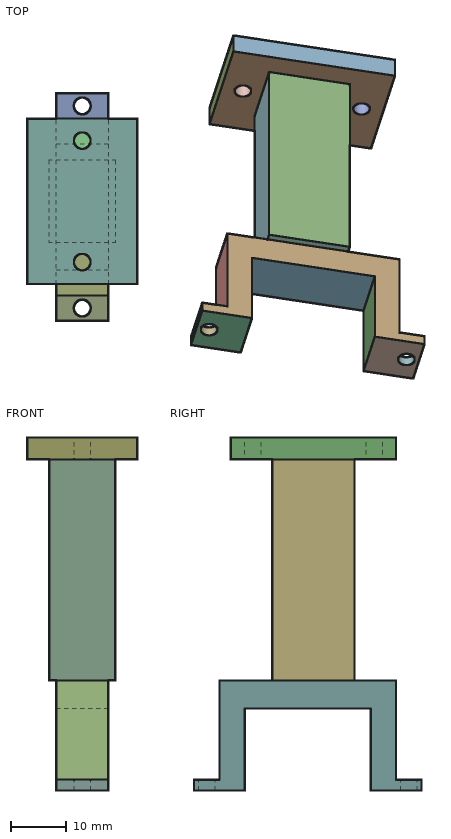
import cadquery as cq

total_height = 64.0
plate_height = 4.0
bracket_height = 20.0
column_height = total_height - plate_height - bracket_height

plate_width = 20.0
plate_length = 30.0
column_width = 12.0
column_length = 15.0
hole_diameter = 3.0
plate_hole_spacing = 22.0

bracket_width = 9.5
overall_length = 41.3
bracket_length = 32.0
bracket_center_y = -1.0
bridge_thickness = 5.1
leg_thickness = 4.6
foot_length = (overall_length - bracket_length) / 2
foot_height = 2.0


def block(width, length, height, bottom, center_y=0):
    """Box centred on X, standing on the given Z level."""
    return (
        cq.Workplane("XY", origin=(0, center_y, bottom))
        .rect(width, length)
        .extrude(height)
    )


def hole_pair(spacing, height, bottom, center_y=0):
    """Two vertical hole cutters spaced along Y."""
    return (
        cq.Workplane("XY", origin=(0, center_y, bottom))
        .pushPoints([(0, -spacing / 2), (0, spacing / 2)])
        .circle(hole_diameter / 2)
        .extrude(height)
    )


def make_bracket():
    """Bridge on two legs with a drilled foot at each end."""
    opening_length = bracket_length - 2 * leg_thickness
    opening_height = bracket_height - bridge_thickness
    body = block(bracket_width, bracket_length, bracket_height, 0, bracket_center_y)
    feet = block(bracket_width, overall_length, foot_height, 0, bracket_center_y)
    opening = block(bracket_width, opening_length, opening_height, 0, bracket_center_y)
    foot_hole_spacing = bracket_length + foot_length
    holes = hole_pair(foot_hole_spacing, foot_height, 0, bracket_center_y)
    return body.union(feet).cut(opening).cut(holes)


def make_plate():
    """Top plate with two through holes."""
    bottom = total_height - plate_height
    plate = block(plate_width, plate_length, plate_height, bottom)
    return plate.cut(hole_pair(plate_hole_spacing, plate_height, bottom))


column = block(column_width, column_length, column_height, bracket_height)
result = make_bracket().union(column).union(make_plate())